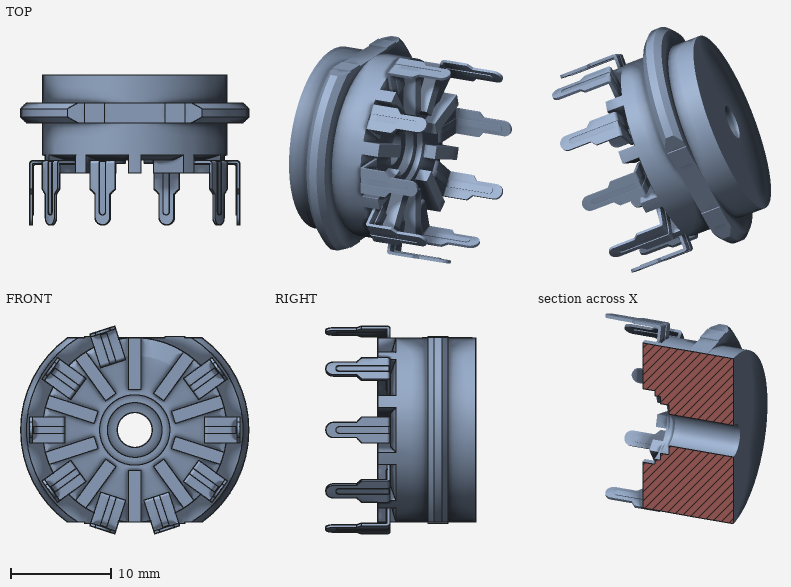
import cadquery as cq

body_radius = 9.22
rim_depth = 7.99
floor_depth = 8.51
floor_radius = 7.4

flange_radius = 11.4
flange_start = 2.78
flange_thickness = 2.0
flange_chamfer = 0.6
flat_height = body_radius
pad_inner_x = 3.01
pad_outer_x = 5.02
pad_height = 0.14

bore_radius = 1.73
inner_step_radius = 2.74
outer_step_radius = 3.51
outer_step_depth = 0.6
inner_step_depth = 1.5

position_count = 10
pitch_angle = 360 / position_count
rib_width = 1.28
rib_inner_radius = 4.06
rib_depth = 9.81

contact_depth = 15.0
arm_clearance = 0.05
arm_depth = floor_depth + arm_clearance
contact_inner_radius = 6.95
contact_outer_radius = 10.5
contact_thickness = 0.3
bend_radius = contact_thickness
inner_bend_radius = 0.1
foot_length = 0.68
contact_width = 2.62
tail_width = 1.55
taper_start = contact_depth - 3.58
taper_end = contact_depth - 3.08
bead_width = 0.66
bead_offset = 0.1
bead_tail_bend = 0.1
bead_inner_bend = 0.2
bead_end = contact_depth - 1.0
empty_position = 2


def disc(radius, start, end):
    """Cylinder about the Y axis between two depths."""
    return cq.Workplane("XZ", origin=(0, -start, 0)).circle(radius).extrude(end - start)


def turned(solid, angle):
    """Turn a solid about the Y axis, from +X towards +Z."""
    return solid.rotate((0, 0, 0), (0, 1, 0), -angle)


def make_rib():
    """Bar along +X that fills one rib and runs past the side of the body."""
    return (
        cq.Workplane("XZ", origin=(0, -rim_depth, 0))
        .center((rib_inner_radius + flange_radius) / 2, 0)
        .rect(flange_radius - rib_inner_radius, rib_width)
        .extrude(rib_depth - rim_depth)
    )


def make_body():
    """Cylinder with ribs on its front, between them a floor with a bevel down to the rim."""
    clearance = [
        (0, -floor_depth),
        (floor_radius, -floor_depth),
        (body_radius, -rim_depth),
        (flange_radius, -rim_depth),
        (flange_radius, -rib_depth),
        (0, -rib_depth),
    ]
    spaces = cq.Workplane("XY").polyline(clearance).close().revolve(360, (0, 0, 0), (0, 1, 0))
    rib = make_rib()
    for position in range(position_count):
        spaces = spaces.cut(turned(rib, (position + 0.5) * pitch_angle))
    return disc(body_radius, 0, rib_depth).cut(spaces)


def make_flange():
    """Bevelled disc cut flat at the top and bottom, with two raised pads on each flat."""
    flange_end = flange_start + flange_thickness
    middle_y = -(flange_start + flange_end) / 2
    flange = disc(flange_radius, flange_start, flange_end).edges().chamfer(flange_chamfer)
    flats = cq.Workplane("XY").box(2 * flange_radius, flange_thickness, 2 * flat_height)
    flange = flange.intersect(flats.translate((0, middle_y, 0)))
    pad_x = (pad_inner_x + pad_outer_x) / 2
    pad_bars = (
        cq.Workplane("XY")
        .pushPoints([(-pad_x, middle_y), (pad_x, middle_y)])
        .rect(pad_outer_x - pad_inner_x, flange_thickness)
        .extrude(flat_height + pad_height, both=True)
    )
    return flange.union(pad_bars)


def round_corner(strip, x, y, radius):
    """Round the corner of a strip that stands at (x, y)."""
    nearest = cq.selectors.NearestToPointSelector((x, y, 0))
    return strip.edges("|Z").edges(nearest).fillet(radius)


def make_strip(offset, foot_bend, tail_bend, inner_bend, end_depth, width):
    """Bent strip in the XY plane, its arm and tail pushed by an offset into the tail bend."""
    foot_inner = contact_inner_radius
    foot_outer = foot_inner + contact_thickness
    arm_rear = -(arm_depth + offset)
    arm_front = arm_rear - contact_thickness
    tail_outer = contact_outer_radius - offset
    tail_inner = tail_outer - contact_thickness
    foot_end = foot_length - floor_depth
    strip = (
        cq.Workplane("XY")
        .moveTo(foot_inner, foot_end)
        .lineTo(foot_inner, arm_front)
        .lineTo(tail_inner, arm_front)
        .lineTo(tail_inner, -end_depth)
        .lineTo(tail_outer, -end_depth)
        .lineTo(tail_outer, arm_rear)
        .lineTo(foot_outer, arm_rear)
        .lineTo(foot_outer, foot_end)
        .close()
        .extrude(width / 2, both=True)
    )
    strip = round_corner(strip, foot_inner, arm_front, foot_bend)
    strip = round_corner(strip, tail_outer, arm_rear, tail_bend)
    return round_corner(strip, tail_inner, arm_front, inner_bend)


def make_outline(edge, tip_depth):
    """Block along +X, mirrored from one edge given as (y, z) points and rounded at its tip."""
    opposite_edge = [(y, -z) for y, z in reversed(edge)]
    return (
        cq.Workplane("YZ")
        .polyline(edge)
        .threePointArc((-tip_depth, 0), opposite_edge[0])
        .polyline(opposite_edge[1:], includeCurrent=True)
        .close()
        .extrude(flange_radius)
    )


def make_contact():
    """Contact along +X: a tapered blade with a narrow bead pressed along its middle."""
    half_width = contact_width / 2
    half_tail = tail_width / 2
    top = foot_length - floor_depth
    blade_edge = [
        (top, -half_width),
        (-taper_start, -half_width),
        (-taper_end, -half_tail),
        (half_tail - contact_depth, -half_tail),
    ]
    half_bead = bead_width / 2
    bead_edge = [(top, -half_bead), (half_bead - bead_end, -half_bead)]
    blade_outline = make_outline(blade_edge, contact_depth)
    bead_outline = make_outline(bead_edge, bead_end)
    blade = make_strip(0, bend_radius, bend_radius, inner_bend_radius, contact_depth, contact_width)
    bead_foot_bend = bend_radius + bead_offset
    bead = make_strip(bead_offset, bead_foot_bend, bead_tail_bend, bead_inner_bend, bead_end, bead_width)
    return blade.intersect(blade_outline).cut(bead_outline).union(bead.intersect(bead_outline))


result = make_body().union(make_flange())
contact = make_contact()
for position in range(position_count):
    if position != empty_position:
        result = result.union(turned(contact, position * pitch_angle))

result = result.cut(disc(outer_step_radius, floor_depth - outer_step_depth, floor_depth))
result = result.cut(disc(inner_step_radius, floor_depth - inner_step_depth, floor_depth))
result = result.cut(disc(bore_radius, 0, floor_depth))